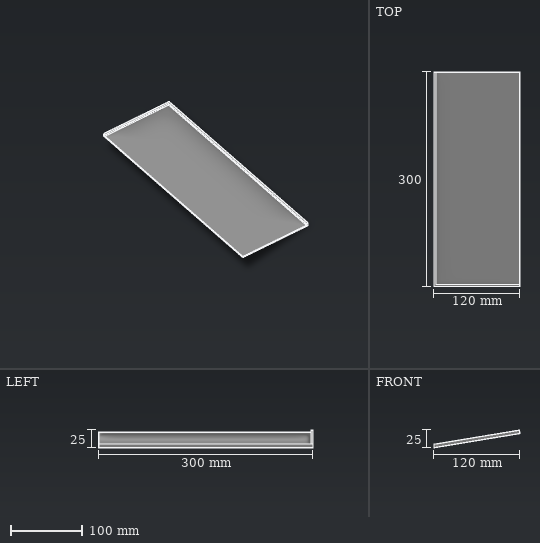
import cadquery as cq
import math

width = 120.0
length = 300.0
height = 25.0
slope_angle = 9.4
floor_height = 2.0
lip_width = 3.0

slope = math.radians(slope_angle)
rise = width * math.tan(slope)
lip_rise = height - rise - floor_height
lip_end_setback = lip_rise * math.tan(slope)

lip_run = width - lip_end_setback - lip_width
low_lip_height = height - lip_run * math.tan(slope)


def extrude_profile(points, depth):
    """Extrude a closed XZ outline from the -Y side toward +Y."""
    return cq.Workplane("XZ").polyline(points).close().extrude(-depth)


tray_floor = extrude_profile(
    [(0, 0), (width, rise), (width, rise + floor_height), (0, floor_height)],
    length,
)

sloped_lip = extrude_profile(
    [
        (lip_width, lip_width * math.tan(slope)),
        (width, rise),
        (width, rise + floor_height),
        (width - lip_end_setback, height),
        (lip_width, low_lip_height),
    ],
    lip_width,
)

low_lip = extrude_profile(
    [
        (0, 0),
        (lip_width, lip_width * math.tan(slope)),
        (lip_width, low_lip_height),
        (0, low_lip_height),
    ],
    length,
)

result = tray_floor.union(sloped_lip).union(low_lip)